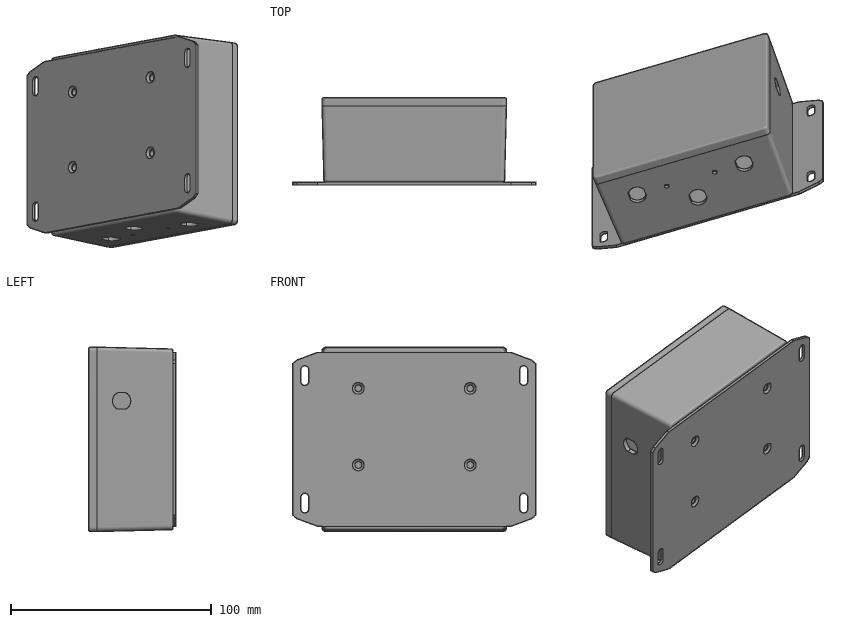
import cadquery as cq


plate_width = 121.2
plate_height = 86.8
plate_thickness = 1.5
shoulder_x = 48.1
ear_x = 58.5
ear_z = 39.5
side_z = 37.7

slot_width = 3.9
slot_length = 9.7
slot_x = 54.5
slot_z = 31.8

screw_hole_diameter = 3.4
countersink_diameter = 5.8
countersink_angle = 100.0
screw_spacing_x = 55.8
screw_spacing_z = 38.2
screw_centre_z = 6.3

total_depth = 43.5
box_size = 92.0
lid_thickness = 4.1
wall = 2.4
draft_angle = 1.4
corner_radius = 2.0
floor_edge_radius = 1.0
lid_edge_radius = 1.0

cable_hole_diameter = 9.1
cable_hole_flats = 8.2
cable_hole_y = 27.0
side_hole_z = 19.1
bottom_cable_spacing = 28.1
bottom_centre_y = 15.8

small_hole_diameter = 2.2
small_hole_spacing = 25.3

lid_front_y = total_depth - lid_thickness
housing_depth = lid_front_y - plate_thickness
half_box = box_size / 2
cutter_reach = 3 * wall


def facing_front(y, z=0):
    """Workplane at depth y and height z, with its normal to -Y and local axes X and Z."""
    return cq.Workplane("XZ", origin=(0, y, z))


def at_screws(workplane):
    """Put the four screw positions on the stack."""
    return workplane.rect(screw_spacing_x, screw_spacing_z, forConstruction=True).vertices()


def make_plate():
    half_width = plate_width / 2
    half_height = plate_height / 2
    upper_right = [(shoulder_x, half_height), (ear_x, ear_z), (half_width, side_z)]
    right = upper_right + [(x, -z) for x, z in reversed(upper_right)]
    left = [(-x, z) for x, z in reversed(right)]
    plate = facing_front(plate_thickness).polyline(right + left).close().extrude(plate_thickness)

    slots = (
        facing_front(plate_thickness)
        .rect(2 * slot_x, 2 * slot_z, forConstruction=True)
        .vertices()
        .slot2D(slot_length, slot_width, 90)
        .extrude(plate_thickness)
    )
    front = plate.cut(slots).faces("<Y").workplane(origin=(0, 0, screw_centre_z))
    return at_screws(front).cskHole(screw_hole_diameter, countersink_diameter, countersink_angle)


def make_shell():
    """Drafted tray that is open towards the lid."""
    outside = facing_front(lid_front_y).rect(box_size, box_size).extrude(housing_depth, taper=draft_angle)
    outside = outside.edges("not(#Y or |X or |Z)").fillet(corner_radius)
    outside = outside.faces("<Y").edges().fillet(floor_edge_radius)

    inner_size = box_size - 2 * wall
    cavity = facing_front(lid_front_y).rect(inner_size, inner_size)
    cavity = cavity.extrude(housing_depth - wall, taper=draft_angle)
    return outside.cut(cavity)


def cable_cutter(workplane):
    """Round prism on the workplane, cut by flats across its local Y axis."""
    flats = workplane.rect(cable_hole_diameter, cable_hole_flats).extrude(cutter_reach, both=True)
    return workplane.circle(cable_hole_diameter / 2).extrude(cutter_reach, both=True).intersect(flats)


def make_housing():
    housing = make_shell()

    floor = facing_front(plate_thickness + wall, screw_centre_z)
    housing = housing.cut(at_screws(floor).circle(screw_hole_diameter / 2).extrude(wall))

    left_side = cq.Workplane("YZ", origin=(-half_box, cable_hole_y, side_hole_z))
    housing = housing.cut(cable_cutter(left_side))

    for step, y in ((-1, cable_hole_y), (0, bottom_centre_y), (1, cable_hole_y)):
        across = cq.Plane(origin=(step * bottom_cable_spacing, y, -half_box), xDir=(0, 1, 0), normal=(0, 0, 1))
        housing = housing.cut(cable_cutter(cq.Workplane(across)))

    small_holes = (
        cq.Workplane("XY", origin=(0, cable_hole_y, -half_box))
        .rarray(small_hole_spacing, 1.2, 2, 1)
        .circle(small_hole_diameter / 2)
        .extrude(cutter_reach, both=True)
    )
    return housing.cut(small_holes)


def make_lid():
    lid = facing_front(total_depth).rect(box_size, box_size).extrude(lid_thickness)
    lid = lid.edges("|Y").fillet(corner_radius)
    return lid.faces(">Y").edges().fillet(lid_edge_radius)


plate = make_plate()
housing = make_housing()
lid = make_lid()

result = cq.Compound.makeCompound([plate.val(), housing.val(), lid.val()])